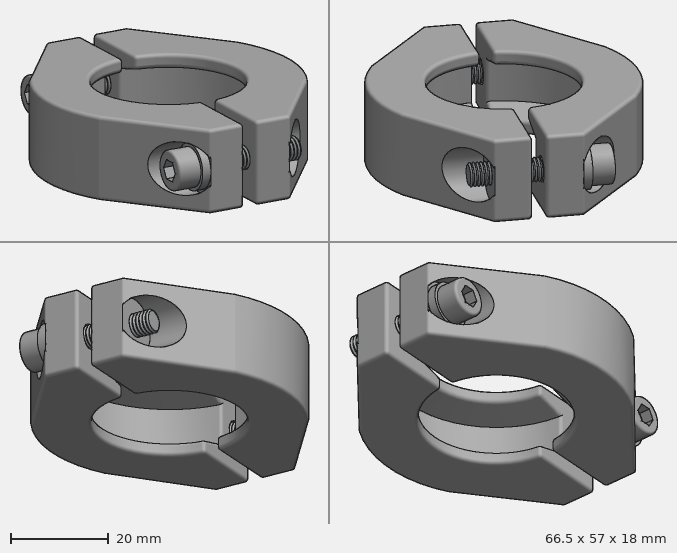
import cadquery as cq
import math

width = 66.5
thickness = 18.0
outer_radius = 28.495
bore_radius = 16.0
gap = 3.0
side_height = 9.45
arc_start_x = 14.2
edge_radius = 0.8

groove_radius = 22.6
groove_flank_angle = 15.0
groove_mouth_half_height = 6.2

screw_x = 28.25
counterbore_radius = 5.7
counterbore_floor = 9.3
clearance_radius = 2.7

washer_radius = width / 2 - screw_x
washer_thickness = 1.9
head_radius = 4.25
head_height = 5.0
head_edge_radius = 0.6
thread_radius = 2.5
root_radius = 2.1
pitch = 0.8
thread_length = 25.0
socket_sides = 6
socket_turn = 180 / socket_sides
socket_across_flats = 4.1
socket_depth = 2.5
socket_cone_angle = 30.0

half_width = width / 2
half_thickness = thickness / 2
half_gap = gap / 2
head_base_y = -counterbore_floor - washer_thickness


def cylinder_along_y(radius, x, y_from, y_to):
    return cq.Workplane("XZ", origin=(x, y_from, 0)).circle(radius).extrude(y_from - y_to)


def make_bore_cutter():
    wall_half_height = groove_mouth_half_height - (groove_radius - bore_radius) * math.tan(
        math.radians(groove_flank_angle)
    )
    return (
        cq.Workplane("XZ")
        .moveTo(0, -thickness)
        .lineTo(bore_radius, -thickness)
        .lineTo(bore_radius, -groove_mouth_half_height)
        .lineTo(groove_radius, -wall_half_height)
        .lineTo(groove_radius, wall_half_height)
        .lineTo(bore_radius, groove_mouth_half_height)
        .lineTo(bore_radius, thickness)
        .lineTo(0, thickness)
        .close()
        .revolve(360, (0, 0, 0), (0, 1, 0))
    )


def make_half_body():
    """Half on the +Y side, before its screw seats are cut."""
    arc_start_y = math.sqrt(outer_radius**2 - arc_start_x**2)
    outline = (
        cq.Workplane("XY")
        .workplane(offset=-half_thickness)
        .moveTo(-half_width, half_gap)
        .lineTo(half_width, half_gap)
        .lineTo(half_width, side_height)
        .lineTo(arc_start_x, arc_start_y)
        .threePointArc((0, outer_radius), (-arc_start_x, arc_start_y))
        .lineTo(-half_width, side_height)
        .close()
        .extrude(thickness)
    )
    arc_ends = cq.selectors.BoxSelector(
        (-half_width + edge_radius, side_height, -edge_radius),
        (half_width - edge_radius, outer_radius, edge_radius),
    )
    blank = outline.edges(arc_ends).fillet(edge_radius).cut(make_bore_cutter())

    rounded_edges = blank.faces("<Y").edges().vals()
    rounded_edges += blank.faces("<X or >X").edges().vals()
    rounded_edges += blank.faces("<Z or >Z").edges().vals()
    for mouth_z in (-groove_mouth_half_height, groove_mouth_half_height):
        around_mouth = cq.selectors.BoxSelector(
            (-edge_radius, half_gap, mouth_z - edge_radius),
            (edge_radius, bore_radius, mouth_z + edge_radius),
        )
        rounded_edges += blank.edges(around_mouth).vals()
    return blank.newObject(rounded_edges).fillet(edge_radius)


def make_socket():
    """Hexagon with two flats square to Z, ending in a shallow drill cone."""
    top_y = head_base_y - head_height
    hexagon = (
        cq.Workplane("XZ", origin=(0, top_y, 0))
        .transformed(rotate=(0, 0, socket_turn))
        .polygon(socket_sides, socket_across_flats, circumscribed=True)
        .extrude(-socket_depth)
    )
    cone_radius = socket_across_flats / 2
    cone_depth = cone_radius * math.tan(math.radians(socket_cone_angle))
    cone = cq.Workplane(
        cq.Solid.makeCone(
            cone_radius, 0, cone_depth, cq.Vector(0, top_y + socket_depth, 0), cq.Vector(0, 1, 0)
        )
    )
    return hexagon.union(cone)


def make_screw():
    """Cap screw on the Y axis with its washer; the thread is a row of V ridges."""
    head = cylinder_along_y(head_radius, 0, head_base_y - head_height, head_base_y)
    head = head.faces("<Y").edges().fillet(head_edge_radius).cut(make_socket())
    washer = cylinder_along_y(washer_radius, 0, head_base_y, -counterbore_floor)

    ridge_count = math.floor(thread_length / pitch)
    tip_y = head_base_y + thread_length
    profile = cq.Workplane("XY").moveTo(0, tip_y).lineTo(root_radius, tip_y)
    for ridge in range(ridge_count):
        ridge_y = tip_y - ridge * pitch
        profile = profile.lineTo(thread_radius, ridge_y - pitch / 2)
        profile = profile.lineTo(root_radius, ridge_y - pitch)
    thread = (
        profile.lineTo(root_radius, head_base_y)
        .lineTo(0, head_base_y)
        .close()
        .revolve(360, (0, 0, 0), (0, 1, 0))
    )
    return head.union(washer).union(thread)


back_half = make_half_body()
front_half = back_half.mirror("XZ")
for x in (-screw_x, screw_x):
    counterbore = cylinder_along_y(counterbore_radius, x, counterbore_floor, outer_radius)
    clearance_hole = cylinder_along_y(clearance_radius, x, -counterbore_floor, 0)
    back_half = back_half.cut(counterbore)
    front_half = front_half.cut(counterbore.mirror("XZ")).cut(clearance_hole)

screw = make_screw()
result = back_half.union(front_half)
for x in (-screw_x, screw_x):
    result = result.union(screw.translate((x, 0, 0)))